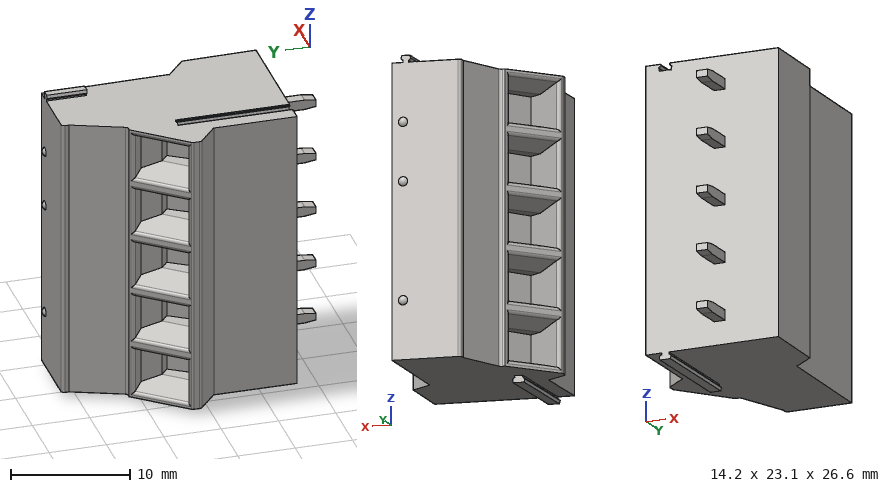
import cadquery as cq
import math

pole_count = 5
pitch = 5.07
overall_z = 26.55
housing_z = pole_count * pitch
housing_y = 19.4
housing_x = 14.25
corner_r = 0.3
board_corner_r = 0.1

board_face_x = 2.0
board_face_top = 7.28
nose_bottom = (0.0, 8.95)
nose_top = (0.0, 9.7)
ledge_y = 14.15
ledge_front = (3.67, ledge_y)
ledge_back = (4.12, ledge_y)
upper_front_x = 5.9
upper_front_y = 18.75
rear_top_x = 11.98
rear_step_top = (12.16, 8.15)
rear_step_bottom = (14.13, 6.5)

rail_height = (overall_z - housing_z) / 2
rail_neck_height = 0.13
rail_widest_height = 0.32
long_rail_x = 3.8
long_rail_length = 9.95
long_rail_widths = (0.7, 1.1, 0.95)
short_rail_x = 10.75
short_rail_length = 3.5
short_rail_widths = (0.5, 0.88, 0.7)
groove_clearance = 0.1
groove_lead_in = 0.066

pin_x = 8.85
pin_width = 1.0
pin_thickness = 0.9
pin_tip_thickness = 0.6
pin_length = 3.5
pin_taper_length = 1.0

dome_x = 11.0
dome_radius = 0.4
dome_height = 0.2
dome_pole_lines = (1, 3, 4)

rim_margin = 0.15
rim_radius = 0.3
rim_half_z = 2.07
throat_depth = 1.45
hole_depth = 2.75
throat_to_hole = 1.35
hole_half_z = 1.38
floor_depth = 3.77
floor_tilt = math.radians(7)

nose_slope = math.atan2(ledge_front[1] - nose_top[1], ledge_front[0] - nose_top[0])
slope_length = math.dist(nose_top, ledge_front)


def make_housing():
    outline = [
        (board_face_x, 0),
        (board_face_x, board_face_top),
        nose_bottom,
        nose_top,
        ledge_front,
        ledge_back,
        (upper_front_x, upper_front_y),
        (upper_front_x, housing_y),
        (rear_top_x, housing_y),
        rear_step_top,
        rear_step_bottom,
        (housing_x, 0),
    ]
    body = cq.Workplane("XY").polyline(outline).close().extrude(housing_z)
    rounded = [
        (board_face_x, board_face_top, board_corner_r),
        (*nose_bottom, corner_r),
        (*nose_top, corner_r),
        (*ledge_back, corner_r),
        (upper_front_x, housing_y, corner_r),
    ]
    for x, y, radius in rounded:
        near = cq.selectors.NearestToPointSelector((x, y, housing_z / 2))
        body = body.edges("|Z").edges(near).fillet(radius)
    return body


def funnel_plane(z):
    """Plane at the nose tip: local X runs up the slope, local Y points into the body, local Z is -Z."""
    along = (math.cos(nose_slope), math.sin(nose_slope), 0)
    return cq.Plane(origin=(*nose_top, z), xDir=along, normal=(0, 0, -1))


def make_funnel(z):
    low = rim_margin + rim_radius
    high = slope_length - low
    hole_top = high - throat_to_hole
    floor_low = floor_depth + (hole_top - low) * math.tan(floor_tilt)
    section = [
        (low, 0),
        (high, 0),
        (high, throat_depth),
        (hole_top, hole_depth),
        (hole_top, floor_depth),
        (low, floor_low),
    ]
    plane = funnel_plane(z)
    side_section = cq.Workplane(plane).polyline(section).close().extrude(rim_half_z, both=True)

    taper = [
        (0, -rim_half_z),
        (0, rim_half_z),
        (hole_depth, hole_half_z),
        (floor_low, hole_half_z),
        (floor_low, -hole_half_z),
        (hole_depth, -hole_half_z),
    ]
    across = cq.Plane(origin=(*nose_top, z), xDir=plane.yDir.toTuple(), normal=plane.xDir.toTuple())
    walls = cq.Workplane(across).polyline(taper).close().extrude(slope_length)
    return side_section.intersect(walls)


def round_rim(body, z):
    plane = funnel_plane(z)
    low = rim_margin + rim_radius
    high = slope_length - low
    middle = slope_length / 2
    rim_points = [(low, 0, 0), (high, 0, 0), (middle, 0, rim_half_z), (middle, 0, -rim_half_z)]
    edges = []
    for point in rim_points:
        near = cq.selectors.NearestToPointSelector(plane.toWorldCoords(point).toTuple())
        edges += body.edges(near).vals()
    return body.newObject(edges).fillet(rim_radius)


def rail_bar(centre_x, widths, start_y, length, base_z, direction):
    """Bar with a narrow neck and a wide head along Y, standing on base_z and pointing up (1) or down (-1)."""
    root, widest, crest = widths
    half = [
        (root / 2, 0),
        (root / 2, rail_neck_height),
        (widest / 2, rail_widest_height),
        (crest / 2, rail_height),
    ]
    right = [(centre_x + x, base_z + direction * h) for x, h in half]
    left = [(centre_x - x, base_z + direction * h) for x, h in reversed(half)]
    bar = cq.Workplane("XZ").polyline(right + left).close().extrude(-length)
    return bar.translate((0, start_y, 0))


def make_lead_in(neck_width):
    """Chamfer along both mouth edges of the groove in the top end."""
    mouth_half = neck_width / 2 + groove_lead_in
    outline = [
        (long_rail_x - mouth_half, housing_z),
        (long_rail_x + mouth_half, housing_z),
        (long_rail_x + neck_width / 2, housing_z - groove_lead_in),
        (long_rail_x - neck_width / 2, housing_z - groove_lead_in),
    ]
    return cq.Workplane("XZ").polyline(outline).close().extrude(-long_rail_length)


def make_pin(z):
    half = pin_thickness / 2
    tip = pin_tip_thickness / 2
    taper_start = pin_taper_length - pin_length
    outline = [
        (0, half),
        (taper_start, half),
        (-pin_length, tip),
        (-pin_length, -tip),
        (taper_start, -half),
        (0, -half),
    ]
    pin = cq.Workplane("YZ").polyline(outline).close().extrude(pin_width / 2, both=True)
    return pin.translate((pin_x, 0, z))


def make_dome(z):
    sphere_radius = (dome_radius**2 + dome_height**2) / (2 * dome_height)
    centre_y = housing_y + dome_height - sphere_radius
    ball = cq.Workplane("XY").sphere(sphere_radius).translate((dome_x, centre_y, z))
    behind = cq.Workplane("XY").box(2 * sphere_radius, 2 * dome_height, 2 * sphere_radius)
    return ball.intersect(behind.translate((dome_x, housing_y, z)))


pole_centres = [(pole + 0.5) * pitch for pole in range(pole_count)]

result = make_housing()
for centre in pole_centres:
    result = result.cut(make_funnel(centre))
    result = round_rim(result, centre)

groove_widths = [width + groove_clearance for width in long_rail_widths]
result = result.cut(rail_bar(long_rail_x, groove_widths, 0, long_rail_length, housing_z, -1))
result = result.cut(make_lead_in(groove_widths[0]))
result = result.union(rail_bar(long_rail_x, long_rail_widths, 0, long_rail_length, 0, -1))
short_rail_start = housing_y - short_rail_length
result = result.union(
    rail_bar(short_rail_x, short_rail_widths, short_rail_start, short_rail_length, housing_z, 1)
)

for centre in pole_centres:
    result = result.union(make_pin(centre))
for line in dome_pole_lines:
    result = result.union(make_dome(line * pitch))